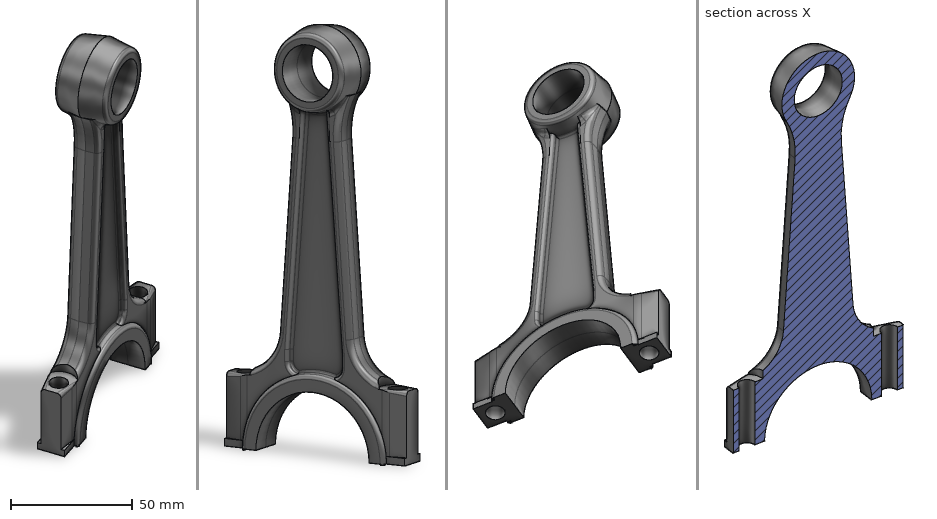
import cadquery as cq
import math


EYE_HEIGHT = 161.5
EYE_WIDTH = 24.0
EYE_CROWN_RADIUS = 18.5
EYE_BORE_RADIUS = 12.0
EYE_EDGE_FILLET = 2.0
FORGING_DRAFT = 10.0

COLLAR_WIDTH = 16.0
COLLAR_CROWN_RADIUS = 35.4
COLLAR_EDGE_FILLET = 2.0
BIG_BORE_RADIUS = 27.0
RIM_LIP_DROP = 0.5
RIM_LIP_WIDTH = 1.0
RIM_LIP_INNER_Y = 32.6

WEB_THICKNESS = 12.5
WEB_DRAFT = 5.0
WEB_EDGE_FILLET = 2.5
SHANK_TOP = (11.8, 132.8)
SHANK_BOTTOM = (17.7, 50.4)
FLARE_RADIUS = 18.7
NECK_FILLET = 3.0

POCKET_FLOOR_X = 3.5
POCKET_TOP_HALF_WIDTH = 5.7
POCKET_TOP_Z = 137.1
POCKET_BOTTOM_HALF_WIDTH = 12.75
POCKET_BOTTOM_Z = 43.4
POCKET_END_Z = 33.3
POCKET_CORNER_RADIUS = 5.0
POCKET_FLOOR_FILLET = 1.1
POCKET_RIM_FILLET = 1.5

BOSS_END_Y = 43.0
BOSS_HEIGHT = 31.0
BOSS_BEND_Y = 33.9
BOSS_BEND_RADIUS = 20.0
BOSS_FOOT_HEIGHT = 3.2
BOSS_INNER_Y = 30.0
BOSS_TOP_ROUND_OUTER = 2.0
BOSS_TOP_ROUND_INNER = 0.5
BOLT_Y = 36.0
BOLT_HOLE_RADIUS = 4.0
SPOTFACE_RADIUS = 8.0

HIDDEN_HEAD_Z = EYE_HEIGHT - EYE_BORE_RADIUS
HALF_WEB = WEB_THICKNESS / 2
DRAFT_SLOPE = math.tan(math.radians(FORGING_DRAFT))
SEARCH_MARGIN = 1.0
CLEARANCE = 10.0


def box(x_range, y_range, z_range):
    """Axis-aligned box given by its limits along X, Y and Z."""
    size = [high - low for low, high in (x_range, y_range, z_range)]
    corner = (x_range[0], y_range[0], z_range[0])
    return cq.Workplane("XY").box(*size, centered=False).translate(corner)


def x_cylinder(radius, height, z):
    """Cylinder along X, centred on X = 0, with its axis at Y = 0 and the given Z."""
    cylinder = cq.Workplane("YZ").circle(radius).extrude(height / 2, both=True)
    return cylinder.translate((0, 0, z))


def drafted_disc(crown_radius, width, edge_fillet):
    """Disc along X that narrows from X = 0 to both ends, with rounded end edges."""
    end_radius = crown_radius - width / 2 * DRAFT_SLOPE
    disc = (
        cq.Workplane("XY")
        .moveTo(-width / 2, 0)
        .lineTo(-width / 2, end_radius)
        .lineTo(0, crown_radius)
        .lineTo(width / 2, end_radius)
        .lineTo(width / 2, 0)
        .close()
        .revolve(360, (0, 0), (1, 0))
    )
    return disc.faces("<X or >X").edges().fillet(edge_fillet)


def eye_blank():
    """The eye before boring."""
    disc = drafted_disc(EYE_CROWN_RADIUS, EYE_WIDTH, EYE_EDGE_FILLET)
    return disc.translate((0, 0, EYE_HEIGHT))


def collar_blank():
    """The big-end collar as a full disc before boring and splitting."""
    return drafted_disc(COLLAR_CROWN_RADIUS, COLLAR_WIDTH, COLLAR_EDGE_FILLET)


def point_on_circle(centre, radius, angle):
    return (centre[0] + radius * math.cos(angle), centre[1] + radius * math.sin(angle))


def mirror_y(point):
    return (-point[0], point[1])


def web_outline():
    """Side outline of the shank with its neck arcs and flares, drawn on (Y, Z)."""
    lean = math.atan2(SHANK_BOTTOM[0] - SHANK_TOP[0], SHANK_TOP[1] - SHANK_BOTTOM[1])

    normal = (math.cos(lean), math.sin(lean))
    offset = (SHANK_TOP[0], SHANK_TOP[1] - EYE_HEIGHT)
    along_normal = offset[0] * normal[0] + offset[1] * normal[1]
    gap_squared = offset[0] ** 2 + offset[1] ** 2 - EYE_CROWN_RADIUS ** 2
    neck_radius = gap_squared / (2 * (EYE_CROWN_RADIUS - along_normal))
    neck_centre = point_on_circle(SHANK_TOP, neck_radius, lean)
    neck_end_angle = math.atan2(EYE_HEIGHT - neck_centre[1], -neck_centre[0])
    neck_end = point_on_circle(neck_centre, neck_radius, neck_end_angle)
    neck_middle_angle = (math.pi + lean + neck_end_angle) / 2
    neck_middle = point_on_circle(neck_centre, neck_radius, neck_middle_angle)

    flare_centre = point_on_circle(SHANK_BOTTOM, FLARE_RADIUS, lean)
    flare_end = point_on_circle(flare_centre, FLARE_RADIUS, 1.5 * math.pi)
    flare_middle_angle = (math.pi + lean + 1.5 * math.pi) / 2
    flare_middle = point_on_circle(flare_centre, FLARE_RADIUS, flare_middle_angle)
    outer_y = BOSS_END_Y + CLEARANCE

    return (
        cq.Workplane("YZ")
        .moveTo(outer_y, -CLEARANCE)
        .lineTo(outer_y, flare_end[1])
        .lineTo(*flare_end)
        .threePointArc(flare_middle, SHANK_BOTTOM)
        .lineTo(*SHANK_TOP)
        .threePointArc(neck_middle, neck_end)
        .lineTo(0, EYE_HEIGHT)
        .lineTo(*mirror_y(neck_end))
        .threePointArc(mirror_y(neck_middle), mirror_y(SHANK_TOP))
        .lineTo(*mirror_y(SHANK_BOTTOM))
        .threePointArc(mirror_y(flare_middle), mirror_y(flare_end))
        .lineTo(-outer_y, flare_end[1])
        .lineTo(-outer_y, -CLEARANCE)
        .close()
    )


def pocket_cutter():
    """Tapered pocket on the +X side, open at the web face, rounded at its floor."""
    slope = (POCKET_BOTTOM_HALF_WIDTH - POCKET_TOP_HALF_WIDTH) / (POCKET_TOP_Z - POCKET_BOTTOM_Z)
    head_half_width = POCKET_TOP_HALF_WIDTH - slope * (HIDDEN_HEAD_Z - POCKET_TOP_Z)
    prism = (
        cq.Workplane("YZ", origin=(POCKET_FLOOR_X, 0, 0))
        .moveTo(-POCKET_BOTTOM_HALF_WIDTH, POCKET_END_Z)
        .lineTo(POCKET_BOTTOM_HALF_WIDTH, POCKET_END_Z)
        .lineTo(POCKET_BOTTOM_HALF_WIDTH, POCKET_BOTTOM_Z)
        .lineTo(head_half_width, HIDDEN_HEAD_Z)
        .lineTo(-head_half_width, HIDDEN_HEAD_Z)
        .lineTo(-POCKET_BOTTOM_HALF_WIDTH, POCKET_BOTTOM_Z)
        .close()
        .extrude(CLEARANCE)
    )
    prism = prism.faces("<Z").edges("|X").fillet(POCKET_CORNER_RADIUS)
    prism = prism.cut(eye_blank()).cut(collar_blank())
    return prism.faces("<X").edges().fillet(POCKET_FLOOR_FILLET)


def plain_half_web():
    """The +X half of the web without its pocket: drafted and rounded along its outline."""
    half = web_outline().extrude(HALF_WEB, taper=WEB_DRAFT)
    visible_sides = cq.selectors.BoxSelector((0, -BOSS_END_Y, 0), (CLEARANCE, BOSS_END_Y, HIDDEN_HEAD_Z))
    return half.faces(">X").edges(visible_sides).fillet(WEB_EDGE_FILLET)


def neck_blends(plain_half):
    """Top of the +X half web blended into the eye, on both sides of the pocket."""
    half_eye = eye_blank().intersect(
        box((0, EYE_WIDTH), (-EYE_WIDTH, EYE_WIDTH), (HIDDEN_HEAD_Z - EYE_WIDTH, EYE_HEIGHT + EYE_WIDTH))
    )
    joined = plain_half.union(half_eye)
    web_face_meets_eye = cq.selectors.BoxSelector(
        (HALF_WEB - SEARCH_MARGIN, -SEARCH_MARGIN, SHANK_TOP[1]),
        (HALF_WEB + SEARCH_MARGIN, SEARCH_MARGIN, HIDDEN_HEAD_Z),
    )
    joined = joined.edges(web_face_meets_eye).fillet(NECK_FILLET)
    inner_y = POCKET_TOP_HALF_WIDTH + POCKET_RIM_FILLET
    side = box((0, CLEARANCE), (inner_y, EYE_WIDTH), (SHANK_TOP[1], EYE_HEIGHT))
    return joined.intersect(side.union(side.mirror("XZ")))


def half_web():
    """The +X half of the web with its pocket and the blends into the eye."""
    plain_half = plain_half_web()
    half = plain_half.cut(pocket_cutter())
    pocket_rim = half.faces(">X").val().innerWires()[0]
    half = half.newObject(pocket_rim.Edges()).fillet(POCKET_RIM_FILLET)
    return half.union(neck_blends(plain_half))


def boss_wall_cutter():
    """Tool that leans one boss wall (+X, +Y) inwards above the foot."""
    outer_y = BOSS_END_Y + CLEARANCE
    outer_x = HALF_WEB - DRAFT_SLOPE * (outer_y - BOSS_BEND_Y)
    bend_setback = BOSS_BEND_RADIUS * math.tan(math.radians(FORGING_DRAFT / 2))
    bend_end = (
        HALF_WEB - bend_setback * math.sin(math.radians(FORGING_DRAFT)),
        BOSS_BEND_Y + bend_setback * math.cos(math.radians(FORGING_DRAFT)),
    )
    bend_start = (HALF_WEB, BOSS_BEND_Y - bend_setback)
    bend_middle = point_on_circle(
        (HALF_WEB - BOSS_BEND_RADIUS, bend_start[1]), BOSS_BEND_RADIUS, math.radians(FORGING_DRAFT / 2)
    )
    return (
        cq.Workplane("XY", origin=(0, 0, BOSS_FOOT_HEIGHT))
        .moveTo(*bend_start)
        .threePointArc(bend_middle, bend_end)
        .lineTo(outer_x, outer_y)
        .lineTo(HALF_WEB + CLEARANCE, outer_y)
        .lineTo(HALF_WEB + CLEARANCE, bend_start[1])
        .close()
        .extrude(BOSS_HEIGHT)
    )


def boss_top_round_cutter():
    """Tool that rounds the top edge of one leaning wall (+X, +Y), growing outwards."""
    inner_y = BOLT_Y - math.sqrt(SPOTFACE_RADIUS ** 2 - HALF_WEB ** 2)

    def section(y, radius):
        wall_x = HALF_WEB - DRAFT_SLOPE * (y - BOSS_BEND_Y)
        tangent_x = wall_x - radius
        tangent_z = BOSS_HEIGHT - radius
        centre = (tangent_x, tangent_z)
        points = [
            (wall_x, tangent_z),
            (wall_x + CLEARANCE, tangent_z),
            (wall_x + CLEARANCE, BOSS_HEIGHT + CLEARANCE),
            (tangent_x, BOSS_HEIGHT + CLEARANCE),
            (tangent_x, BOSS_HEIGHT),
        ]
        path = [cq.Vector(x, y, z) for x, z in points]
        arc_x, arc_z = point_on_circle(centre, radius, math.pi / 4)
        edges = [cq.Edge.makeLine(start, end) for start, end in zip(path, path[1:])]
        edges.append(cq.Edge.makeThreePointArc(path[-1], cq.Vector(arc_x, y, arc_z), path[0]))
        return cq.Wire.assembleEdges(edges)

    inner = section(inner_y, BOSS_TOP_ROUND_INNER)
    outer = section(BOSS_END_Y, BOSS_TOP_ROUND_OUTER)
    return cq.Workplane(cq.Solid.makeLoft([inner, outer], True))


def bolt_boss_cutter():
    """All material removed around the +Y bolt boss."""
    spotface = cq.Workplane("XY").circle(SPOTFACE_RADIUS).extrude(EYE_HEIGHT)
    spotface = spotface.translate((0, BOLT_Y, BOSS_HEIGHT))
    outside = box(
        (-CLEARANCE, CLEARANCE), (BOLT_Y, BOSS_END_Y + CLEARANCE), (BOSS_HEIGHT, EYE_HEIGHT)
    )
    cutter = spotface.union(outside)
    for tool in (boss_wall_cutter(), boss_top_round_cutter()):
        cutter = cutter.union(tool).union(tool.mirror("YZ"))
    return cutter


def web():
    """Complete I-section web with the flares and the bolt boss blocks."""
    half = half_web()
    body = half.union(half.mirror("YZ"))
    boss_block = box(
        (-HALF_WEB, HALF_WEB), (BOSS_INNER_Y, BOSS_END_Y), (0, BOSS_HEIGHT)
    )
    body = body.union(boss_block).union(boss_block.mirror("XZ"))
    body = body.intersect(box((-CLEARANCE, CLEARANCE), (-BOSS_END_Y, BOSS_END_Y), (0, EYE_HEIGHT)))
    cutter = bolt_boss_cutter()
    return body.cut(cutter).cut(cutter.mirror("XZ"))


def collar():
    """Half ring around the big bore, with the rim lips below the joint face."""
    disc = collar_blank()
    reach = COLLAR_CROWN_RADIUS + CLEARANCE
    upper = disc.intersect(box((-reach, reach), (-reach, reach), (0, reach)))

    lip_zone = box(
        (COLLAR_WIDTH / 2 - RIM_LIP_WIDTH, reach), (RIM_LIP_INNER_Y, reach), (-RIM_LIP_DROP, 0)
    )
    lip = disc.intersect(lip_zone)
    lips = lip.union(lip.mirror("XZ"))
    return upper.union(lips).union(lips.mirror("YZ"))


def bolt_holes():
    holes = cq.Workplane("XY").pushPoints([(0, BOLT_Y), (0, -BOLT_Y)]).circle(BOLT_HOLE_RADIUS)
    return holes.extrude(BOSS_HEIGHT + CLEARANCE, both=True)


result = web().union(eye_blank()).union(collar())
result = result.cut(x_cylinder(EYE_BORE_RADIUS, 2 * EYE_WIDTH, EYE_HEIGHT))
result = result.cut(x_cylinder(BIG_BORE_RADIUS, 2 * EYE_WIDTH, 0))
result = result.cut(bolt_holes())